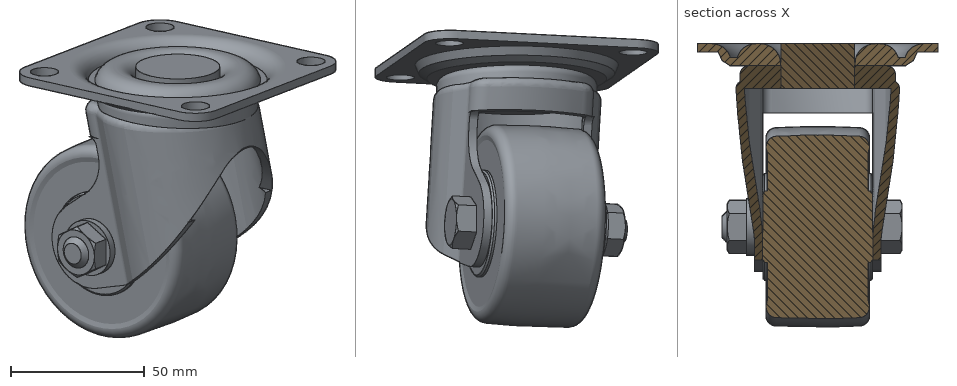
import cadquery as cq
import math


plate_size = 90.0
plate_corner_radius = 10.0
plate_thickness = 3.2
mount_hole_spacing = 71.0
mount_hole_diameter = 10.5
dish_bottom = -8.4
dish_floor = dish_bottom + plate_thickness
dish_rim_radius = 40.3
dish_floor_outer_radius = 33.4
dish_floor_inner_radius = 31.0
dish_outer_radius = 38.0
dish_bottom_radius = 33.6
dish_knuckle_radius = 36.6
dish_knuckle_z = -6.4
bulge_outer_radius = 24.2
bulge_inner_radius = 22.8

king_pin_radius = 15.7

sheet = 3.2
race_radius = 30.0
race_round = 3.0
fork_top = -13.7
fork_shoulder = fork_top - sheet
fork_bottom = -90.0
crown_round = 3.2
leg_inside = 20.5
leg_outside = leg_inside + sheet
rake = math.tan(math.radians(13.2))
shell_radius = 31.4
shell_center_x = -1.8
skirt_corner_start_x = -29.6
skirt_corner_start_y = 18.0
skirt_corner_end_x = -22.2
flare_start_x = -21.0
flare_bend_length = 0.7
flare_end_x = -14.3
flare_end_y = 28.2
skirt_bottom = -26.0
front_clear_x = -60.0
back_clear_x = 10.0

skirt_notch_start = (-23.5, skirt_bottom)
skirt_notch_middle = (-21.5, -26.8)
throat_top = (-20.2, -28.7)
throat_middle = (-19.3, -32.5)
throat_bulge = (-19.7, -41.0)
throat_end = (-26.0, -49.0)
leg_tip = (-6.4, -80.8)
flare_tip = (0.3, -76.6)
back_middle = (24.7, -50.0)
back_top = (32.3, -25.4)
arch_top = -25.8
arch_shoulder = (12.0, -30.9)
arch_haunch = (19.9, -40.5)
arch_foot = (25.5, -50.0)
leg_end_x = -24.3
leg_end_radius = 16.7
leg_upper_angle = 128
leg_lower_angle = 286

axle_x = -22.0
wheel_radius = 37.5
caster_height = 106.0
axle_z = wheel_radius - caster_height
wheel_width = 38.8
crown_height = 0.4
tread_round = 4.0
face_outer_radius = 33.0
face_inner_radius = 31.2
face_recess = 0.5
hub_radius = 20.0
hub_chamfer = 0.7

shaft_radius = 6.0
shaft_tip_chamfer = 2.0
shaft_end = -35.8
hex_sides = 6
hex_flats = 17.3
head_height = 7.8
washer_radius = 10.6
washer_thickness = 3.0
nut_height = 7.1
hex_chamfer_angle = math.radians(30)


def level_arc_middle(level_point, end_point):
    """Middle point of the arc that is level (along the first axis) at one point and ends at another."""
    run = end_point[0] - level_point[0]
    rise = end_point[1] - level_point[1]
    radius = (run**2 + rise**2) / (2 * abs(rise))
    half_angle = math.asin(abs(run) / radius) / 2
    return (
        level_point[0] + math.copysign(radius * math.sin(half_angle), run),
        level_point[1] + math.copysign(radius * (1 - math.cos(half_angle)), rise),
    )


def make_plate():
    slab = (
        cq.Workplane("XY")
        .rect(plate_size, plate_size)
        .extrude(-plate_thickness)
        .edges("|Z")
        .fillet(plate_corner_radius)
        .cut(cq.Workplane("XY").circle(dish_outer_radius).extrude(-plate_thickness))
    )
    rim = (dish_rim_radius, 0)
    floor_outer = (dish_floor_outer_radius, dish_floor)
    floor_inner = (dish_floor_inner_radius, dish_floor)
    bulge_outer = (bulge_outer_radius, 0)
    bulge_inner = (bulge_inner_radius, 0)
    lip_bottom = (king_pin_radius, king_pin_radius - bulge_inner_radius)
    dish = (
        cq.Workplane("XZ")
        .moveTo(king_pin_radius, dish_bottom)
        .lineTo(dish_bottom_radius, dish_bottom)
        .lineTo(dish_knuckle_radius, dish_knuckle_z)
        .lineTo(dish_outer_radius, -plate_thickness)
        .lineTo(dish_rim_radius, -plate_thickness)
        .lineTo(*rim)
        .threePointArc(level_arc_middle(rim, floor_outer), floor_outer)
        .lineTo(*floor_inner)
        .threePointArc(level_arc_middle(bulge_outer, floor_inner), bulge_outer)
        .lineTo(*bulge_inner)
        .threePointArc(level_arc_middle(bulge_inner, lip_bottom), lip_bottom)
        .close()
        .revolve(360, (0, 0, 0), (0, 1, 0))
    )
    bowl_opening = cq.Workplane("XY").circle(dish_rim_radius).extrude(-plate_thickness)
    mount_holes = (
        cq.Workplane("XY")
        .rect(mount_hole_spacing, mount_hole_spacing, forConstruction=True)
        .vertices()
        .circle(mount_hole_diameter / 2)
        .extrude(-plate_thickness)
    )
    return slab.cut(bowl_opening).union(dish).cut(mount_holes)


def make_king_pin():
    return cq.Workplane("XY").circle(king_pin_radius).extrude(fork_shoulder)


def mirrored(point):
    """Plan point reflected to the -Y side."""
    return point[0], -point[1]


def shell_plan():
    """Plan of the shell at the crown top: round back, flared sides, round-cornered front."""
    front = (shell_center_x - shell_radius, 0)
    back = (shell_center_x + shell_radius, 0)
    widest = (shell_center_x, shell_radius)
    flare_angle = math.atan2(flare_end_y - leg_outside, flare_end_x - flare_start_x)
    bend_start = (flare_start_x - flare_bend_length, leg_outside)
    bend_end = (
        flare_start_x + flare_bend_length * math.cos(flare_angle),
        leg_outside + flare_bend_length * math.sin(flare_angle),
    )
    bend_middle = level_arc_middle(bend_start, bend_end)
    flare_end = (flare_end_x, flare_end_y)
    flare_middle = level_arc_middle(widest, flare_end)
    corner_start = (skirt_corner_start_x, skirt_corner_start_y)
    corner_end = (skirt_corner_end_x, leg_outside)
    corner_middle = level_arc_middle(corner_end, corner_start)
    return (
        cq.Workplane("XY", origin=(0, 0, fork_top))
        .moveTo(*corner_start)
        .threePointArc(corner_middle, corner_end)
        .lineTo(*bend_start)
        .threePointArc(bend_middle, bend_end)
        .lineTo(*flare_end)
        .threePointArc(flare_middle, widest)
        .threePointArc(back, mirrored(widest))
        .threePointArc(mirrored(flare_middle), mirrored(flare_end))
        .lineTo(*mirrored(bend_end))
        .threePointArc(mirrored(bend_middle), mirrored(bend_start))
        .lineTo(*mirrored(corner_end))
        .threePointArc(mirrored(corner_middle), mirrored(corner_start))
        .threePointArc(front, corner_start)
        .close()
    )


def rake_down(plan, top):
    """Prism that leans back as it goes down from its plan to the fork's lowest level."""
    drop = top - fork_bottom
    return cq.Workplane(obj=cq.Solid.extrudeLinear(plan, [], cq.Vector(drop * rake, 0, -drop)))


def make_shell():
    plan = shell_plan()
    outside = rake_down(plan.val(), fork_top).faces(">Z").edges().fillet(crown_round)
    inside_plan = plan.offset2D(-sheet).translate((sheet * rake, 0, -sheet))
    inside = rake_down(inside_plan.val(), fork_shoulder)
    front_opening = cq.Workplane("XY").box(
        back_clear_x - front_clear_x,
        2 * leg_inside,
        skirt_bottom - fork_bottom,
        centered=(False, True, False),
    ).translate((front_clear_x, 0, fork_bottom))
    return outside.cut(inside).cut(front_opening)


def make_back_arch():
    """Arched opening that trims the back of the shell."""
    return (
        cq.Workplane("YZ", origin=(back_clear_x, 0, 0))
        .moveTo(-arch_foot[0], arch_foot[1])
        .threePointArc((-arch_haunch[0], arch_haunch[1]), (-arch_shoulder[0], arch_shoulder[1]))
        .threePointArc((0, arch_top), arch_shoulder)
        .threePointArc(arch_haunch, arch_foot)
        .close()
        .extrude(shell_radius)
    )


def flank_x(z):
    """X of the line where a leg bends out into its flare."""
    return flare_start_x + (fork_top - z) * rake


def make_side_block():
    """Block with the side outline of the whole fork, spanning its width."""
    upper = leg_end_point(leg_upper_angle)
    lower = leg_end_point(leg_lower_angle)
    return (
        cq.Workplane("XZ")
        .moveTo(front_clear_x, fork_top)
        .lineTo(front_clear_x, skirt_bottom)
        .lineTo(*skirt_notch_start)
        .threePointArc(skirt_notch_middle, throat_top)
        .lineTo(*throat_middle)
        .threePointArc(throat_bulge, throat_end)
        .lineTo(*upper)
        .threePointArc(leg_end_point(180), lower)
        .lineTo(*leg_tip)
        .lineTo(*flare_tip)
        .threePointArc(back_middle, back_top)
        .lineTo(back_top[0] + shell_radius, back_top[1])
        .lineTo(back_top[0] + shell_radius, fork_top)
        .close()
        .extrude(shell_radius, both=True)
    )


def leg_end_point(angle):
    """Point on the rounded end of a leg, at an angle in degrees."""
    turn = math.radians(angle)
    return (
        leg_end_x + leg_end_radius * math.cos(turn),
        axle_z + leg_end_radius * math.sin(turn),
    )


def make_leg(side):
    """Flat sheet leg in front of the flare."""
    leg = (
        cq.Workplane("XZ")
        .moveTo(front_clear_x, skirt_bottom)
        .lineTo(flank_x(skirt_bottom), skirt_bottom)
        .lineTo(flank_x(fork_bottom), fork_bottom)
        .lineTo(front_clear_x, fork_bottom)
        .close()
        .extrude(-sheet)
        .translate((0, leg_inside, 0))
    )
    return leg if side > 0 else leg.mirror("XZ")


def make_fork():
    race = (
        cq.Workplane("XY", origin=(0, 0, fork_shoulder))
        .circle(race_radius)
        .extrude(dish_bottom - fork_shoulder)
        .faces(">Z")
        .edges()
        .fillet(race_round)
    )
    fork = make_shell()
    for side in (1, -1):
        fork = fork.union(make_leg(side))
    fork = fork.intersect(make_side_block()).cut(make_back_arch()).union(race)
    return fork.cut(make_king_pin()).cut(make_shaft())


def make_wheel():
    half_width = wheel_width / 2
    edge_radius = wheel_radius - crown_height
    shoulder_width = half_width - tread_round
    recess_width = half_width - face_recess
    shoulder_center = (shoulder_width, edge_radius - tread_round)
    round_reach = tread_round * math.sqrt(0.5)
    right_middle = (shoulder_center[0] + round_reach, shoulder_center[1] + round_reach)
    half_profile = [
        (half_width, face_outer_radius),
        (recess_width, face_inner_radius),
        (recess_width, hub_radius),
        (leg_inside - hub_chamfer, hub_radius),
        (leg_inside, hub_radius - hub_chamfer),
        (leg_inside, shaft_radius),
    ]
    mirrored_profile = [(-y, r) for y, r in reversed(half_profile)]
    return (
        cq.Workplane("YZ")
        .moveTo(-shoulder_width, edge_radius)
        .threePointArc((0, wheel_radius), (shoulder_width, edge_radius))
        .threePointArc(right_middle, (half_width, shoulder_center[1]))
        .polyline(half_profile + mirrored_profile, includeCurrent=True)
        .lineTo(-half_width, shoulder_center[1])
        .threePointArc((-right_middle[0], right_middle[1]), (-shoulder_width, edge_radius))
        .close()
        .revolve(360, (0, 0, 0), (1, 0, 0))
        .translate((axle_x, 0, axle_z))
    )


def rod(radius, start_y, end_y):
    """Cylinder along the axle between two Y positions."""
    return (
        cq.Workplane("XZ", origin=(axle_x, start_y, axle_z))
        .circle(radius)
        .extrude(start_y - end_y)
    )


def make_shaft():
    return rod(shaft_radius, leg_outside, shaft_end)


def make_hexagon(seat_y, outer_y):
    """Hexagon with corners up and down, its outer corners turned to a shallow cone."""
    half_sector = 180 / hex_sides
    across_corners = hex_flats / math.cos(math.radians(half_sector))
    height = abs(outer_y - seat_y)
    chamfer = (across_corners - hex_flats) / 2 * math.tan(hex_chamfer_angle)
    prism = (
        cq.Workplane("XZ")
        .polygon(hex_sides, across_corners)
        .extrude(-height)
        .rotate((0, 0, 0), (0, 1, 0), half_sector)
    )
    cone = (
        cq.Workplane("XY")
        .lineTo(across_corners / 2, 0)
        .lineTo(across_corners / 2, height - chamfer)
        .lineTo(hex_flats / 2, height)
        .lineTo(0, height)
        .close()
        .revolve(360, (0, 0, 0), (0, 1, 0))
    )
    hexagon = prism.intersect(cone)
    if outer_y < seat_y:
        hexagon = hexagon.mirror("XZ")
    return hexagon.translate((axle_x, seat_y, axle_z))


def make_axle():
    washer_face = -leg_outside - washer_thickness
    shaft = make_shaft().faces("<Y").edges().chamfer(shaft_tip_chamfer)
    head = make_hexagon(leg_outside, leg_outside + head_height)
    washer = rod(washer_radius, -leg_outside, washer_face)
    nut = make_hexagon(washer_face, washer_face - nut_height)
    return shaft.union(head).union(washer).union(nut)


plate = make_plate()
king_pin = make_king_pin()
fork = make_fork()
wheel = make_wheel()
axle = make_axle()

result = cq.Compound.makeCompound([plate.val(), king_pin.val(), fork.val(), wheel.val(), axle.val()])